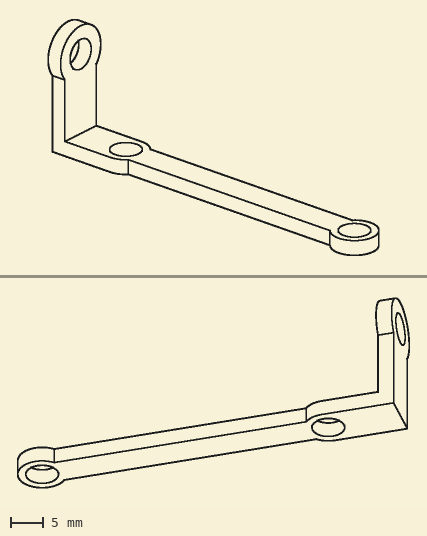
import cadquery as cq

thickness = 2.5
hole_diameter = 5.0

plate_width = 7.5
top_ring_diameter = 9.62
overall_height = 20.68
top_ring_height = overall_height - top_ring_diameter / 2

overall_length = 60.89
eye_diameter = 7.5
near_hole_x = 11.5
far_hole_x = overall_length - eye_diameter / 2
far_hole_y = -0.15
arm_width = 5.1
arm_y = far_hole_y / 2


def bar(x_start, x_end, y_center, width):
    """Flat bar of the stock thickness resting on Z = 0."""
    return cq.Workplane("XY").box(
        x_end - x_start, width, thickness, centered=(False, True, False)
    ).translate((x_start, y_center, 0))


def flat_disc(x, y, diameter):
    """Vertical-axis disc of the stock thickness resting on Z = 0."""
    return cq.Workplane("XY").center(x, y).circle(diameter / 2).extrude(thickness)


def upright_disc(diameter):
    """Disc with its axis along X, at the height of the top ring."""
    return cq.Workplane("YZ").center(0, top_ring_height).circle(diameter / 2).extrude(thickness)


def make_upright():
    plate = cq.Workplane("XY").box(
        thickness, plate_width, top_ring_height, centered=(False, True, False)
    )
    return plate.union(upright_disc(top_ring_diameter)).cut(upright_disc(hole_diameter))


def make_foot_and_arm():
    eyes = [(near_hole_x, 0), (far_hole_x, far_hole_y)]
    body = bar(0, near_hole_x, 0, plate_width)
    body = body.union(bar(near_hole_x, far_hole_x, arm_y, arm_width))
    for x, y in eyes:
        body = body.union(flat_disc(x, y, eye_diameter))
    for x, y in eyes:
        body = body.cut(flat_disc(x, y, hole_diameter))
    return body


result = make_upright().union(make_foot_and_arm())